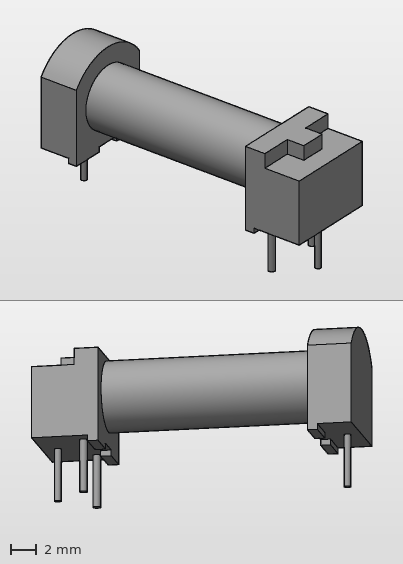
import cadquery as cq

LENGTH = 25.2
WIDTH = 8.0
HEIGHT = 12.5

BASE_Z = 4.13
FOOT_HEIGHT = 0.45
FOOT_GAP = 2.17

HEAD_LENGTH = 3.45
HEAD_SHOULDER_Z = 10.4
HEAD_FOOT_LENGTH = 0.78

CORE_DIAMETER = 5.6
CORE_Z = 8.1

TAIL_START_X = 19.95
TAIL_FOOT_LENGTH = 0.83
WALL_THICKNESS = 1.9
WALL_TOP_Z = 11.1
LEDGE_Z = 9.8
TAB_LENGTH = 1.61
TAB_WIDTH = 2.32

CENTER_PIN_DIAMETER = 0.53
SIDE_PIN_DIAMETER = 0.6
HEAD_PIN_X = 1.1
TAIL_PIN_X = 23.95
SIDE_PIN_X = 21.4
SIDE_PIN_Y = 2.55


def box(x_start, length, width, z_bottom, z_top):
    """Box starting at x_start, centred across Y."""
    return (
        cq.Workplane("XY", origin=(x_start, 0, z_bottom))
        .rect(length, width)
        .extrude(z_top - z_bottom)
        .translate((length / 2, 0, 0))
    )


def feet(x_start, length):
    """Pair of feet under an end block, separated by the central gap."""
    foot_bottom = BASE_Z - FOOT_HEIGHT
    strip = box(x_start, length, WIDTH, foot_bottom, BASE_Z)
    gap = box(x_start, length, FOOT_GAP, foot_bottom, BASE_Z)
    return strip.cut(gap)


def head_block():
    """Block with a cylindrical top and feet along its inner edge."""
    half_width = WIDTH / 2
    block = (
        cq.Workplane("YZ")
        .moveTo(-half_width, BASE_Z)
        .lineTo(half_width, BASE_Z)
        .lineTo(half_width, HEAD_SHOULDER_Z)
        .threePointArc((0, HEIGHT), (-half_width, HEAD_SHOULDER_Z))
        .close()
        .extrude(HEAD_LENGTH)
    )
    return block.union(feet(HEAD_LENGTH - HEAD_FOOT_LENGTH, HEAD_FOOT_LENGTH))


def core():
    """Round bar joining the two end blocks."""
    return (
        cq.Workplane("YZ", origin=(HEAD_LENGTH, 0, CORE_Z))
        .circle(CORE_DIAMETER / 2)
        .extrude(TAIL_START_X - HEAD_LENGTH)
    )


def tail_block():
    """Block with a raised wall, a tab on its ledge and feet along its inner edge."""
    base = box(TAIL_START_X, LENGTH - TAIL_START_X, WIDTH, BASE_Z, LEDGE_Z)
    wall = box(TAIL_START_X, WALL_THICKNESS, WIDTH, LEDGE_Z, WALL_TOP_Z)
    tab = box(TAIL_START_X + WALL_THICKNESS, TAB_LENGTH, TAB_WIDTH, LEDGE_Z, WALL_TOP_Z)
    return base.union(wall).union(tab).union(feet(TAIL_START_X, TAIL_FOOT_LENGTH))


def pin(x, y, diameter):
    """Vertical pin reaching from Z = 0 to the underside of a block."""
    return cq.Workplane("XY", origin=(x, y, 0)).circle(diameter / 2).extrude(BASE_Z)


result = head_block().union(core()).union(tail_block())
for pin_x in (HEAD_PIN_X, TAIL_PIN_X):
    result = result.union(pin(pin_x, 0, CENTER_PIN_DIAMETER))
for side in (-1, 1):
    result = result.union(pin(SIDE_PIN_X, side * SIDE_PIN_Y, SIDE_PIN_DIAMETER))